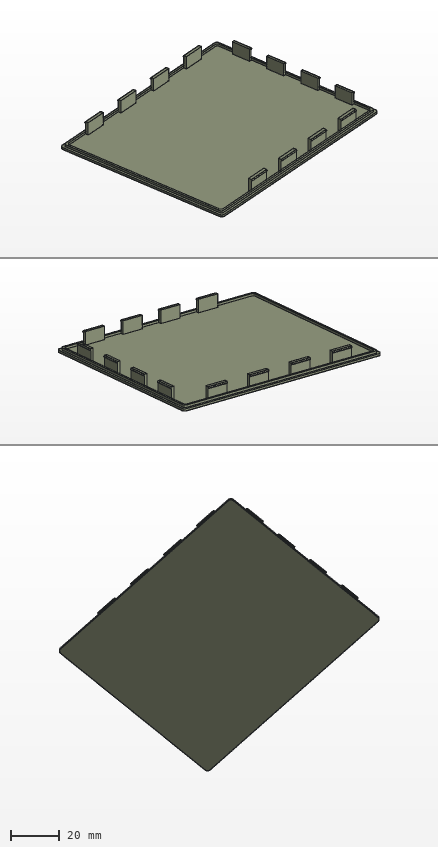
import cadquery as cq

PLATE_X = 85.2
PLATE_Y = 102.8
PLATE_THICKNESS = 1.0
PLATE_CORNER_RADIUS = 1.4

LIP_INSET = 1.1
LIP_WIDTH = 0.9
LIP_HEIGHT = 1.0
LIP_OUTER_CORNER_RADIUS = 1.0
LIP_INNER_CORNER_RADIUS = 1.2

TOTAL_HEIGHT = 7.0
TABS_PER_ROW = 4

SNAP_DEPTH = 0.4
SNAP_HEIGHT = 0.8
SNAP_DROP = 0.1

SIDE_TAB_WIDTH = 10.0
SIDE_TAB_THICKNESS = 1.4
LEFT_TAB_PITCH = 21.6
RIGHT_TAB_PITCH = 19.6
RIGHT_ROW_CENTER_Y = 4.8

BACK_TAB_WIDTH = 8.9
BACK_TAB_THICKNESS = 1.2
BACK_TAB_PITCH = 18.0

TAB_HEIGHT = TOTAL_HEIGHT - PLATE_THICKNESS
TAB_INSET = LIP_INSET + LIP_WIDTH
SIDE_FACE_X = PLATE_X / 2 - TAB_INSET
BACK_FACE_Y = PLATE_Y / 2 - TAB_INSET


def rounded_slab(inset, height, corner_radius):
    """Rounded rectangle parallel to the plate outline, standing on Z = 0."""
    return (
        cq.Workplane("XY")
        .rect(PLATE_X - 2 * inset, PLATE_Y - 2 * inset)
        .extrude(height)
        .edges("|Z")
        .fillet(corner_radius)
    )


def make_lip():
    """Closed rim on top of the plate."""
    outside = rounded_slab(LIP_INSET, LIP_HEIGHT, LIP_OUTER_CORNER_RADIUS)
    inside = rounded_slab(TAB_INSET, LIP_HEIGHT, LIP_INNER_CORNER_RADIUS)
    return outside.cut(inside).translate((0, 0, PLATE_THICKNESS))


def make_tab(width, thickness):
    """Tab with its outer face on X = 0 and its snap ridge facing -X."""
    ridge_top = TAB_HEIGHT - SNAP_DROP
    return (
        cq.Workplane("XZ")
        .lineTo(thickness, 0)
        .lineTo(thickness, TAB_HEIGHT)
        .lineTo(0, TAB_HEIGHT)
        .lineTo(0, ridge_top)
        .lineTo(-SNAP_DEPTH, ridge_top - SNAP_HEIGHT / 2)
        .lineTo(0, ridge_top - SNAP_HEIGHT)
        .close()
        .extrude(width / 2, both=True)
    )


def turn(tab, angle):
    """Tab turned about the Z axis."""
    return tab.rotate((0, 0, 0), (0, 0, 1), angle)


def row_offsets(pitch):
    """Tab positions along a row, measured from the middle of the row."""
    return [(i - (TABS_PER_ROW - 1) / 2) * pitch for i in range(TABS_PER_ROW)]


left_tab = make_tab(SIDE_TAB_WIDTH, SIDE_TAB_THICKNESS)
right_tab = turn(left_tab, 180)
back_tab = turn(make_tab(BACK_TAB_WIDTH, BACK_TAB_THICKNESS), -90)

result = rounded_slab(0, PLATE_THICKNESS, PLATE_CORNER_RADIUS).union(make_lip())

for offset in row_offsets(LEFT_TAB_PITCH):
    result = result.union(left_tab.translate((-SIDE_FACE_X, offset, PLATE_THICKNESS)))

for offset in row_offsets(RIGHT_TAB_PITCH):
    tab_y = RIGHT_ROW_CENTER_Y + offset
    result = result.union(right_tab.translate((SIDE_FACE_X, tab_y, PLATE_THICKNESS)))

for offset in row_offsets(BACK_TAB_PITCH):
    result = result.union(back_tab.translate((offset, BACK_FACE_Y, PLATE_THICKNESS)))